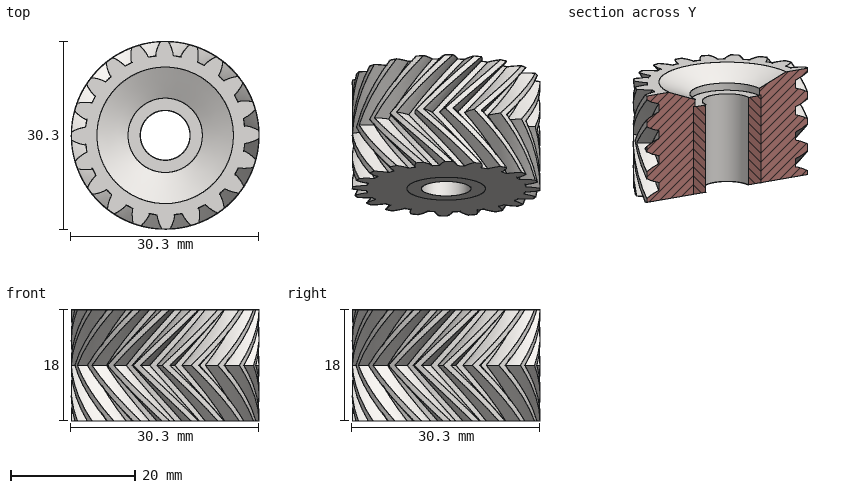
import cadquery as cq
import math

TIP_DIAMETER = 30.28
ROOT_DIAMETER = 25.8
GEAR_HEIGHT = 18.0
TOOTH_COUNT = 20
HALF_TWIST = 36.0
TOOTH_START_ANGLE = 90.5

TIP_HALF_ANGLE = 2.4
FLANK_HALF_ANGLE = 4.95
ROOT_HALF_ANGLE = 6.4
FLANK_DIAMETER = 27.85

DISH_DIAMETER = 22.0
DISH_DEPTH = 2.0
MOUTH_DIAMETER = 12.0
RING_TOP_DEPTH = 3.2

RING_DIAMETER = 12.65
BORE_DIAMETER = 8.0

HALF_HEIGHT = GEAR_HEIGHT / 2
RING_HEIGHT = GEAR_HEIGHT - RING_TOP_DEPTH


def polar_point(diameter, angle):
    """Point on a circle about the gear axis, at an angle in degrees from +X."""
    direction = math.radians(angle)
    return (diameter / 2 * math.cos(direction), diameter / 2 * math.sin(direction))


def gear_outline(plane, rotation):
    """Closed outline of all teeth, with arc flanks, tips and gap floors."""
    pitch_angle = 360 / TOOTH_COUNT
    first_tooth = TOOTH_START_ANGLE + rotation
    outline = plane.moveTo(*polar_point(ROOT_DIAMETER, first_tooth - ROOT_HALF_ANGLE))
    for tooth in range(TOOTH_COUNT):
        middle = first_tooth + tooth * pitch_angle
        outline = (
            outline
            .threePointArc(
                polar_point(FLANK_DIAMETER, middle - FLANK_HALF_ANGLE),
                polar_point(TIP_DIAMETER, middle - TIP_HALF_ANGLE),
            )
            .threePointArc(
                polar_point(TIP_DIAMETER, middle),
                polar_point(TIP_DIAMETER, middle + TIP_HALF_ANGLE),
            )
            .threePointArc(
                polar_point(FLANK_DIAMETER, middle + FLANK_HALF_ANGLE),
                polar_point(ROOT_DIAMETER, middle + ROOT_HALF_ANGLE),
            )
            .threePointArc(
                polar_point(ROOT_DIAMETER, middle + pitch_angle / 2),
                polar_point(ROOT_DIAMETER, middle + pitch_angle - ROOT_HALF_ANGLE),
            )
        )
    return outline.close()


def herringbone_blank():
    """Two helical halves of opposite hand that meet in a V at mid-height."""
    lower = gear_outline(cq.Workplane("XY"), 0).twistExtrude(HALF_HEIGHT, -HALF_TWIST)
    middle_plane = cq.Workplane("XY").workplane(offset=HALF_HEIGHT)
    upper = gear_outline(middle_plane, -HALF_TWIST).twistExtrude(HALF_HEIGHT, HALF_TWIST)
    return lower.union(upper)


def dish():
    """Cone that sinks from the top face down to the mouth of the hole."""
    return (
        cq.Workplane("XY", origin=(0, 0, GEAR_HEIGHT))
        .circle(DISH_DIAMETER / 2)
        .workplane(offset=-DISH_DEPTH)
        .circle(MOUTH_DIAMETER / 2)
        .loft(ruled=True)
    )


def build_gear():
    mouth = cq.Workplane("XY").circle(MOUTH_DIAMETER / 2).extrude(GEAR_HEIGHT)
    ring_recess = cq.Workplane("XY").circle(RING_DIAMETER / 2).extrude(RING_HEIGHT)
    return herringbone_blank().cut(dish()).cut(mouth).cut(ring_recess)


def build_inner_ring():
    return (
        cq.Workplane("XY")
        .circle(RING_DIAMETER / 2)
        .circle(BORE_DIAMETER / 2)
        .extrude(RING_HEIGHT)
    )


gear = build_gear()
inner_ring = build_inner_ring()
result = cq.Compound.makeCompound([gear.val(), inner_ring.val()])